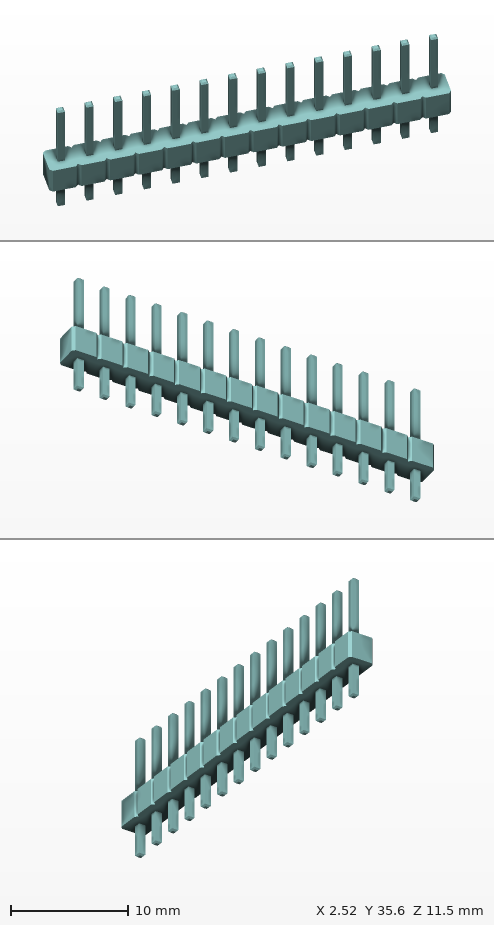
import cadquery as cq

pin_count = 14
row_length = 35.55
body_width = 2.52
body_height = 2.52
body_chamfer = 0.25
pin_width = 0.65
pin_above = 6.0
pin_below = 3.02
tip_chamfer = 0.15

pitch = row_length / pin_count
pin_length = pin_below + body_height + pin_above
station_centers = [(0, (i - (pin_count - 1) / 2) * pitch) for i in range(pin_count)]


def make_housing_cell():
    """One housing block; its chamfered vertical edges form V notches between neighbours."""
    cell = cq.Workplane("XY").box(body_width, pitch, body_height, centered=(True, True, False))
    return cell.edges("|Z").chamfer(body_chamfer)


def make_pin():
    """One square pin through the housing, chamfered at both tips."""
    pin = cq.Workplane("XY").box(pin_width, pin_width, pin_length, centered=(True, True, False))
    return pin.faces("<Z or >Z").edges().chamfer(tip_chamfer).translate((0, 0, -pin_below))


unit = make_housing_cell().union(make_pin()).val()
stations = cq.Workplane("XY").pushPoints(station_centers)
result = stations.eachpoint(lambda place: unit.moved(place), combine=True).clean()